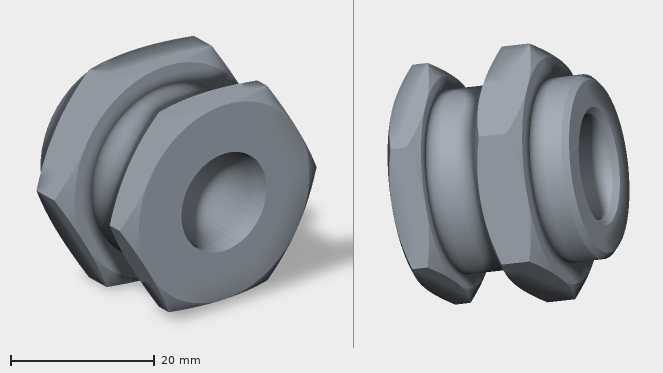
import cadquery as cq
import math

body_length = 26.0
body_diameter = 26.0
bore_diameter = 15.0
end_chamfer = 0.8
bore_chamfer = 0.8

flange_start = 5.58
flange_width = 7.0
flange_across_flats = 32.0

nut_width = 5.0
nut_across_flats = 30.0
nut_start = body_length - nut_width

corner_chamfer_angle = math.radians(30)


def cylinder(start, length, diameter):
    """Solid cylinder along X."""
    return cq.Workplane("YZ", origin=(start, 0, 0)).circle(diameter / 2).extrude(length)


def chamfered_hexagon(start, width, across_flats):
    """Hexagonal prism along X, corners on the Y axis, conically chamfered on both ends."""
    across_corners = across_flats / math.cos(math.pi / 6)
    prism = cq.Workplane("YZ", origin=(start, 0, 0)).polygon(6, across_corners).extrude(width)

    face_radius = across_flats / 2
    envelope_radius = across_corners / 2
    cone_depth = (envelope_radius - face_radius) * math.tan(corner_chamfer_angle)
    end = start + width
    envelope = (
        cq.Workplane("XY")
        .moveTo(start, 0)
        .lineTo(start, face_radius)
        .lineTo(start + cone_depth, envelope_radius)
        .lineTo(end - cone_depth, envelope_radius)
        .lineTo(end, face_radius)
        .lineTo(end, 0)
        .close()
        .revolve(360, (0, 0, 0), (1, 0, 0))
    )
    return prism.intersect(envelope)


def make_housing():
    """Bored sleeve with a hexagonal flange."""
    sleeve = cylinder(0, body_length, body_diameter).faces("<X").edges().chamfer(end_chamfer)
    flange = chamfered_hexagon(flange_start, flange_width, flange_across_flats)
    bore = cylinder(0, body_length, bore_diameter)
    bored = sleeve.union(flange).cut(bore)
    bore_rim = bored.faces("<X").edges(cq.selectors.RadiusNthSelector(0))
    return bore_rim.chamfer(bore_chamfer)


def make_nut():
    """Hexagonal locknut that fits around the rear end of the sleeve."""
    blank = chamfered_hexagon(nut_start, nut_width, nut_across_flats)
    return blank.cut(cylinder(nut_start, nut_width, body_diameter))


housing = make_housing()
nut = make_nut()

result = cq.Compound.makeCompound([housing.val(), nut.val()])